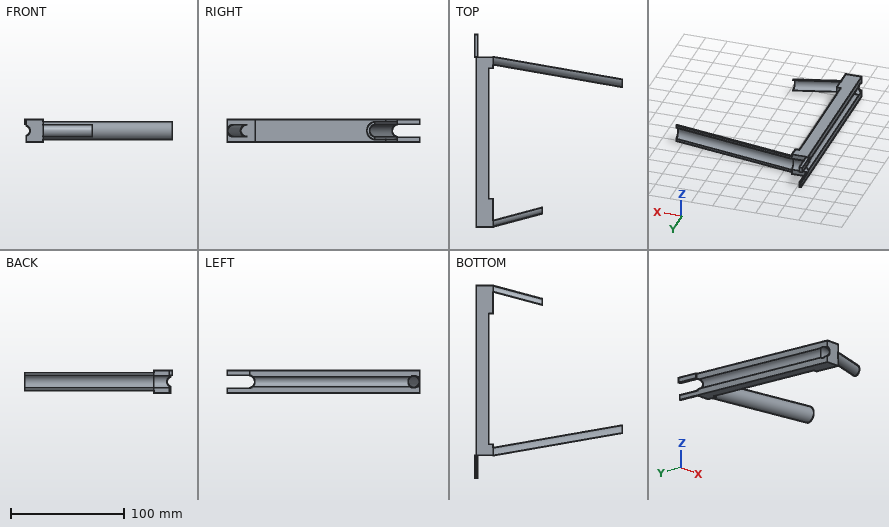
import cadquery as cq
import math

total_length = 170.0
total_reach = 130.5
height = 20.0

prong_length = 20.0
bar_length = total_length - prong_length
bar_left = 1.5
bar_right = 12.8
pad_right = 16.5
near_pad_length = 25.0
far_pad_length = 9.9

prong_height = 4.5
prong_right = 3.0

groove_radius = 4.6
groove_depth = 3.2
groove_axis_x = bar_left + groove_depth - groove_radius

small_outer_radius = 5.5
small_inner_radius = 5.1
small_axis_y = 5.8
small_hole_y = 5.3
small_tilt = 15.0
small_tip_x = 59.8

large_outer_radius = 8.0
large_inner_radius = 5.6
large_axis_y = 151.3
large_depth = 7.0
large_tilt = -9.9


def block(x_start, x_end, y_start, y_end, z_start, z_end):
    """Box between two opposite corners."""
    size = (x_end - x_start, y_end - y_start, z_end - z_start)
    return cq.Workplane("XY").box(*size, centered=False).translate((x_start, y_start, z_start))


def bar():
    """Bar with the two end pads, extruded over the full height."""
    outline = [
        (bar_left, 0),
        (pad_right, 0),
        (pad_right, near_pad_length),
        (bar_right, near_pad_length),
        (bar_right, bar_length - far_pad_length),
        (pad_right, bar_length - far_pad_length),
        (pad_right, bar_length),
        (bar_left, bar_length),
    ]
    return cq.Workplane("XY").polyline(outline).close().extrude(height / 2, both=True)


def prong(x_start, x_end, z_start):
    """Flat prong standing on the far end face of the bar."""
    return block(x_start, x_end, bar_length, total_length, z_start, z_start + prong_height)


def cross_hole(axis_y, radius):
    """Round cutter along X through the whole thickness of the bar."""
    return cq.Workplane("YZ").center(axis_y, 0).circle(radius).extrude(pad_right)


def trough(axis_y, outer_radius, inner_radius, depth, tilt, tip_x):
    """Tilted shell, open toward +Y, running from the pad face to a tip square to X."""
    reach = tip_x - pad_right
    tube_length = 2 * (reach + outer_radius)
    shell = (
        cq.Workplane("YZ")
        .circle(outer_radius)
        .circle(inner_radius)
        .extrude(tube_length / 2, both=True)
    )
    rim_y = depth - outer_radius
    kept_side = block(
        -tube_length, tube_length, -outer_radius, rim_y, -outer_radius, outer_radius
    )
    shell = shell.intersect(kept_side)
    shell = shell.rotate((0, 0, 0), (0, 0, 1), tilt).translate((pad_right, axis_y, 0))
    rise = reach * math.tan(math.radians(abs(tilt))) + 2 * outer_radius
    span = block(pad_right, tip_x, axis_y - rise, axis_y + rise, -height, height)
    return shell.intersect(span)


groove = (
    cq.Workplane("XZ")
    .center(groove_axis_x, 0)
    .circle(groove_radius)
    .extrude(-bar_length)
)

result = (
    bar()
    .cut(groove)
    .cut(cross_hole(small_hole_y, small_inner_radius))
    .cut(cross_hole(large_axis_y, large_inner_radius))
    .union(prong(0, prong_right, height / 2 - prong_height))
    .union(prong(bar_left, prong_right, -height / 2))
    .union(
        trough(
            small_axis_y, small_outer_radius, small_inner_radius,
            small_outer_radius, small_tilt, small_tip_x,
        )
    )
    .union(
        trough(
            large_axis_y, large_outer_radius, large_inner_radius,
            large_depth, large_tilt, total_reach,
        )
    )
)